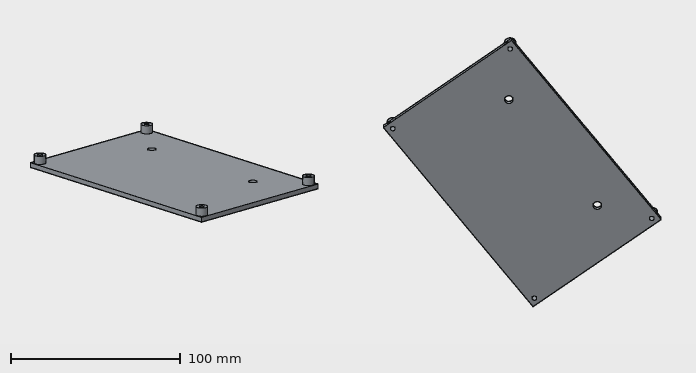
import cadquery as cq

plate_length = 146.5
plate_width = 94.5
plate_thickness = 3.0

standoff_diameter = 7.0
standoff_height = 5.0
standoff_bore = 2.75
standoff_edge_margin = 4.0
standoff_spacing_x = plate_length - 2 * standoff_edge_margin
standoff_spacing_y = plate_width - 2 * standoff_edge_margin

hole_diameter = 5.0
hole_end_margin = 30.0
hole_front_distance = 70.0
hole_x = plate_length / 2 - hole_end_margin
hole_y = hole_front_distance - plate_width / 2


def make_plate():
    """Rectangular plate centred on the Z axis with its underside at Z = 0."""
    return cq.Workplane("XY").box(
        plate_length, plate_width, plate_thickness, centered=(True, True, False)
    )


def add_standoffs(body):
    """Raise a round standoff at each corner and bore it through the plate."""
    raised = (
        body.faces(">Z").workplane(origin=(0, 0, plate_thickness))
        .rect(standoff_spacing_x, standoff_spacing_y, forConstruction=True)
        .vertices()
        .circle(standoff_diameter / 2)
        .extrude(standoff_height)
    )
    bores = (
        cq.Workplane("XY")
        .rect(standoff_spacing_x, standoff_spacing_y, forConstruction=True)
        .vertices()
        .circle(standoff_bore / 2)
        .extrude(plate_thickness + standoff_height)
    )
    return raised.cut(bores)


def cut_plate_holes(body):
    """Cut the two through holes, mirrored about the YZ plane."""
    holes = (
        cq.Workplane("XY")
        .pushPoints([(-hole_x, hole_y), (hole_x, hole_y)])
        .circle(hole_diameter / 2)
        .extrude(plate_thickness)
    )
    return body.cut(holes)


result = cut_plate_holes(add_standoffs(make_plate()))